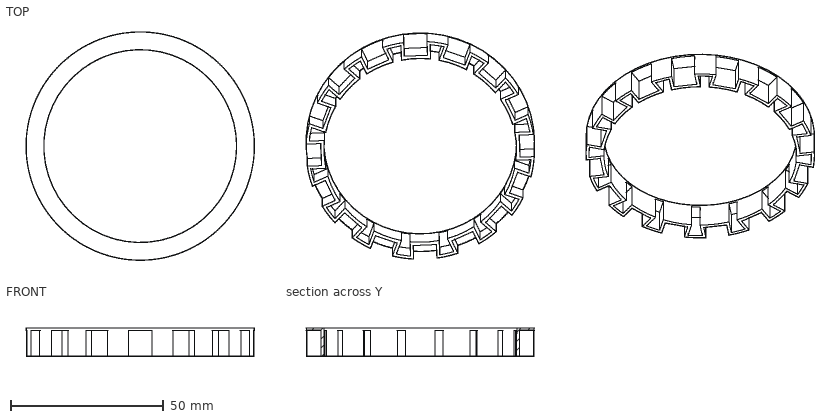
import cadquery as cq

outer_radius = 37.5
inner_radius = 31.6
height = 9.3
plate_thickness = 0.8
skirt_height = height - plate_thickness

fold_count = 16
fold_angle = 360 / fold_count
wall_thickness = 1.0
notch_width = 7.6
notch_floor_radius = inner_radius + wall_thickness
fold_width = notch_width + 2 * wall_thickness


def make_tube(outside, inside, length):
    """Tube standing on Z = 0."""
    return cq.Workplane("XY").circle(outside).circle(inside).extrude(length)


def radial_blocks(start_radius, width):
    """One straight-sided block per fold, all as tall as the skirt, reaching out to the rim."""
    length = outer_radius - start_radius
    block = cq.Workplane("XY").box(length, width, skirt_height, centered=(False, True, False))
    block = block.translate((start_radius, 0, 0))
    blocks = cq.Workplane("XY")
    for index in range(fold_count):
        blocks = blocks.add(block.rotate((0, 0, 0), (0, 0, 1), index * fold_angle))
    return blocks.combine()


def make_skirt():
    """Rim wall joined to the folds, which are hollowed from outside by the notches.

    Between neighbouring folds the skirt stays open towards the bore.
    """
    rim_wall = make_tube(outer_radius, outer_radius - wall_thickness, skirt_height)
    full_ring = make_tube(outer_radius, inner_radius, skirt_height)
    folds = radial_blocks(0, fold_width).intersect(full_ring)
    return rim_wall.union(folds).cut(radial_blocks(notch_floor_radius, notch_width))


def make_plate():
    """Flat annular plate closing the top of the skirt."""
    plate = make_tube(outer_radius, inner_radius, plate_thickness)
    return plate.translate((0, 0, skirt_height))


result = make_skirt().union(make_plate())